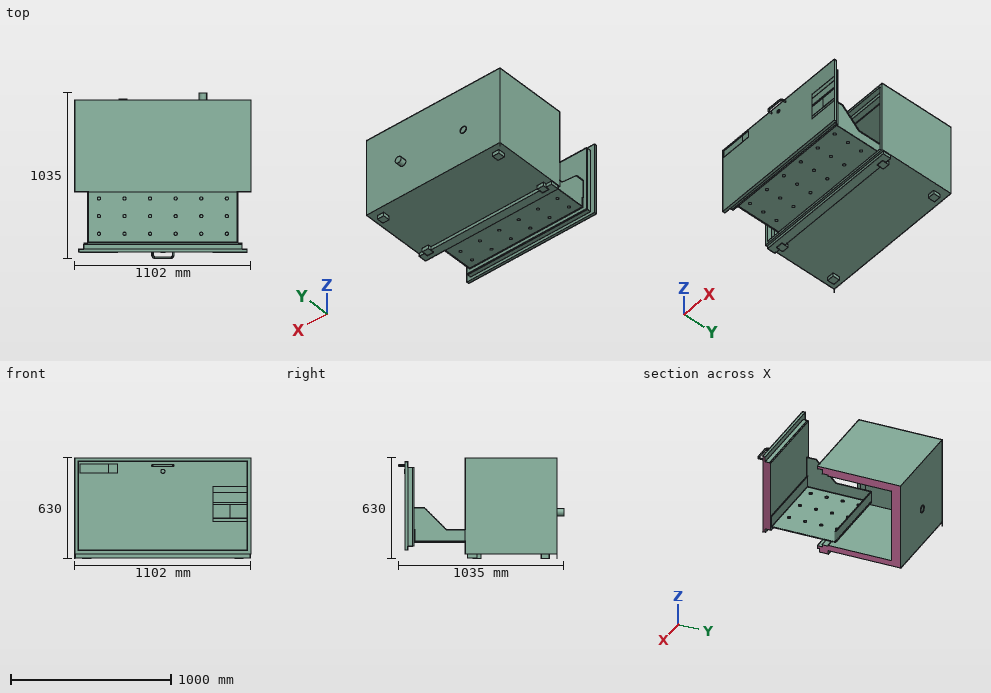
import cadquery as cq
import math


CABINET_WIDTH = 1102.0
CABINET_DEPTH = 574.0
TOTAL_HEIGHT = 630.0
FOOT_HEIGHT = 29.0

REBATE_MARGIN = 21.0
REBATE_DEPTH = 33.0
THROAT_SIDE_MARGIN = 48.0
THROAT_TOP_MARGIN = 50.0
THROAT_BOTTOM_MARGIN = 36.0
THROAT_DEPTH = 73.0
CAVITY_SIDE_MARGIN = 62.0
CAVITY_TOP_MARGIN = 57.0
CAVITY_BOTTOM_MARGIN = 42.0
BACK_WALL = 66.0

FOOT_SIZE = 52.0
FOOT_X = 475.0
FRONT_FOOT_Y = 74.0
REAR_FOOT_Y = 500.0
PLINTH_WIDTH = 1093.0
PLINTH_SETBACK = 13.0
PLINTH_DEPTH = 62.0
PLINTH_HEIGHT = 25.0
POST_SIZE = 1.0

VENT_DIAMETER = 50.0
VENT_X = 250.0
VENT_DROP = 340.0
VENT_Z = TOTAL_HEIGHT - VENT_DROP
DUCT_LENGTH = 44.0
CAP_LENGTH = 4.0

PULL_OUT = 377.0
PANEL_GAP = 3.0
PANEL_THICKNESS = 19.0
PLUG_DEPTH = 39.0
PLUG_SIDE_MARGIN = 56.0
PLUG_TOP_MARGIN = 60.0
PLUG_BOTTOM_MARGIN = 48.0
SEAL_DEPTH = 10.0
SEAL_INSET = 0.5
PANEL_FRONT_Y = -PULL_OUT
PANEL_BACK_Y = PANEL_FRONT_Y + PANEL_THICKNESS
PLUG_BACK_Y = PANEL_BACK_Y + PLUG_DEPTH
PANEL_MARGIN = REBATE_MARGIN + PANEL_GAP
PANEL_HALF_WIDTH = CABINET_WIDTH / 2 - PANEL_MARGIN

LABEL_THICKNESS = 0.5
LABEL_GAP = 0.7
NAME_LABEL_X = [-517.0, -340.0, -283.0]
NAME_LABEL_Z = [536.0, 593.0]
WARNING_LABEL_X = [314.0, 420.0, PANEL_HALF_WIDTH]
WARNING_LABEL_Z = [230.0, 252.0, 338.0, 350.0, 412.0, 451.0]
SPLIT_WARNING_ROW = 1

HANDLE_DIAMETER = 10.2
HANDLE_SPAN = 130.0
HANDLE_BEND = 18.0
HANDLE_REACH = 40.0
HANDLE_DROP = 48.0
HANDLE_Z = TOTAL_HEIGHT - HANDLE_DROP
LOCK_DIAMETER = 25.0
LOCK_LENGTH = 3.0
LOCK_DROP = 85.0
LOCK_Z = TOTAL_HEIGHT - LOCK_DROP

TRAY_WIDTH = 939.0
TRAY_DEPTH = 446.0
TRAY_DROP = 530.0
TRAY_BOTTOM_Z = TOTAL_HEIGHT - TRAY_DROP
TRAY_HEIGHT = 82.0
TRAY_WALL = 5.0
TRAY_BEND = TRAY_WALL
TRAY_BACK_Y = PLUG_BACK_Y + TRAY_DEPTH
TRAY_TOP_Z = TRAY_BOTTOM_Z + TRAY_HEIGHT
EAR_RISE = 138.0
EAR_TOP_LENGTH = 64.0

INSERT_THICKNESS = 3.0
HOLE_DIAMETER = 20.0
HOLE_COLUMNS = 6
HOLE_ROWS = 4
HOLE_SPACING_X = 160.0
HOLE_SPACING_Y = 110.0


def block(x_range, y_range, z_range):
    """Box between two X, two Y and two Z values."""
    (x0, x1), (y0, y1), (z0, z1) = x_range, y_range, z_range
    return cq.Workplane("XY").box(x1 - x0, y1 - y0, z1 - z0, centered=False).translate((x0, y0, z0))


def rod_along_y(diameter, x, z, y_start, y_end):
    """Round rod parallel to Y."""
    rod = cq.Solid.makeCylinder(diameter / 2, y_end - y_start, cq.Vector(x, y_start, z), cq.Vector(0, 1, 0))
    return cq.Workplane(obj=rod)


def inset_block(side, top, bottom, y_range):
    """Box inset from the cabinet's side, top and bottom faces."""
    half_width = CABINET_WIDTH / 2 - side
    return block((-half_width, half_width), y_range, (FOOT_HEIGHT + bottom, TOTAL_HEIGHT - top))


def cabinet_shell():
    """Case with a rebate for the panel, a throat for the plug and the cavity behind them."""
    shell = inset_block(0, 0, 0, (0, CABINET_DEPTH))
    rebate = inset_block(REBATE_MARGIN, REBATE_MARGIN, REBATE_MARGIN, (0, REBATE_DEPTH))
    throat = inset_block(
        THROAT_SIDE_MARGIN, THROAT_TOP_MARGIN, THROAT_BOTTOM_MARGIN, (REBATE_DEPTH, THROAT_DEPTH)
    )
    cavity = inset_block(
        CAVITY_SIDE_MARGIN,
        CAVITY_TOP_MARGIN,
        CAVITY_BOTTOM_MARGIN,
        (THROAT_DEPTH, CABINET_DEPTH - BACK_WALL),
    )
    return shell.cut(rebate).cut(throat).cut(cavity)


def cabinet_base():
    """Four square feet, the front plinth and the slim post under the rear left corner."""
    left = -CABINET_WIDTH / 2
    base = block(
        (-PLINTH_WIDTH / 2, PLINTH_WIDTH / 2),
        (PLINTH_SETBACK, PLINTH_SETBACK + PLINTH_DEPTH),
        (FOOT_HEIGHT - PLINTH_HEIGHT, FOOT_HEIGHT),
    )
    for x in (-FOOT_X, FOOT_X):
        for y in (FRONT_FOOT_Y, REAR_FOOT_Y):
            base = base.union(cq.Workplane("XY").center(x, y).rect(FOOT_SIZE, FOOT_SIZE).extrude(FOOT_HEIGHT))
    post = block((left, left + POST_SIZE), (CABINET_DEPTH - POST_SIZE, CABINET_DEPTH), (0, FOOT_HEIGHT))
    return base.union(post)


def make_cabinet():
    """Case with its base, and the duct and cap on the rear wall."""
    duct = rod_along_y(VENT_DIAMETER, VENT_X, VENT_Z, CABINET_DEPTH, CABINET_DEPTH + DUCT_LENGTH)
    cap = rod_along_y(VENT_DIAMETER, -VENT_X, VENT_Z, CABINET_DEPTH, CABINET_DEPTH + CAP_LENGTH)
    return cabinet_shell().union(cabinet_base()).union(duct).union(cap)


def label_field(x_range, z_range):
    """Thin raised field on the panel, with half a gap left free on every side."""
    margin = LABEL_GAP / 2
    (x0, x1), (z0, z1) = x_range, z_range
    return block(
        (x0 + margin, x1 - margin),
        (PANEL_FRONT_Y - LABEL_THICKNESS, PANEL_FRONT_Y),
        (z0 + margin, z1 - margin),
    )


def name_label():
    """Two fields side by side at the upper left."""
    left, divider, right = NAME_LABEL_X
    return label_field((left, divider), NAME_LABEL_Z).union(label_field((divider, right), NAME_LABEL_Z))


def warning_label():
    """Stacked fields at the right edge, one row of them split in two."""
    left, divider, right = WARNING_LABEL_X
    label = cq.Workplane("XY")
    for row, z_range in enumerate(zip(WARNING_LABEL_Z[:-1], WARNING_LABEL_Z[1:])):
        if row == SPLIT_WARNING_ROW:
            label = label.add(label_field((left, divider), z_range))
            label = label.add(label_field((divider, right), z_range))
        else:
            label = label.add(label_field((left, right), z_range))
    return label.combine()


def make_drawer_front():
    """Panel, plug, seal strip and raised labels."""
    panel = inset_block(PANEL_MARGIN, PANEL_MARGIN, PANEL_MARGIN, (PANEL_FRONT_Y, PANEL_BACK_Y))
    seal_front_y = PLUG_BACK_Y - SEAL_DEPTH
    plug = inset_block(PLUG_SIDE_MARGIN, PLUG_TOP_MARGIN, PLUG_BOTTOM_MARGIN, (PANEL_BACK_Y, seal_front_y))
    seal = inset_block(
        PLUG_SIDE_MARGIN + SEAL_INSET,
        PLUG_TOP_MARGIN + SEAL_INSET,
        PLUG_BOTTOM_MARGIN + SEAL_INSET,
        (seal_front_y, PLUG_BACK_Y),
    )
    return panel.union(plug).union(seal).union(name_label()).union(warning_label())


def make_handle():
    """Round bar bent into a bracket whose two ends stand on the panel."""
    half_span = HANDLE_SPAN / 2
    bar_y = PANEL_FRONT_Y - HANDLE_REACH + HANDLE_DIAMETER / 2
    bend_y = bar_y + HANDLE_BEND
    bar_half = half_span - HANDLE_BEND
    middle_x = bar_half + HANDLE_BEND * math.sqrt(0.5)
    middle_y = bend_y - HANDLE_BEND * math.sqrt(0.5)
    path = (
        cq.Workplane("XY", origin=(0, 0, HANDLE_Z))
        .moveTo(-half_span, PANEL_FRONT_Y)
        .lineTo(-half_span, bend_y)
        .threePointArc((-middle_x, middle_y), (-bar_half, bar_y))
        .lineTo(bar_half, bar_y)
        .threePointArc((middle_x, middle_y), (half_span, bend_y))
        .lineTo(half_span, PANEL_FRONT_Y)
    )
    profile = cq.Workplane("XZ", origin=(-half_span, PANEL_FRONT_Y, HANDLE_Z)).circle(HANDLE_DIAMETER / 2)
    return profile.sweep(path)


def make_lock():
    """Round lock standing on the middle of the panel."""
    return rod_along_y(LOCK_DIAMETER, 0, LOCK_Z, PANEL_FRONT_Y - LOCK_LENGTH, PANEL_FRONT_Y)


def tray_ear(x_start):
    """Raised part of a tray side: level beside the plug, then sloping down at 45 degrees."""
    level_end_y = PLUG_BACK_Y + EAR_TOP_LENGTH
    return (
        cq.Workplane("YZ", origin=(x_start, 0, 0))
        .moveTo(PLUG_BACK_Y, TRAY_TOP_Z)
        .lineTo(PLUG_BACK_Y, TRAY_TOP_Z + EAR_RISE)
        .lineTo(level_end_y, TRAY_TOP_Z + EAR_RISE)
        .lineTo(level_end_y + EAR_RISE, TRAY_TOP_Z)
        .close()
        .extrude(TRAY_WALL)
    )


def make_tray():
    """Open tray with rounded outer edges and an ear on each side."""
    half_width = TRAY_WIDTH / 2
    tray = block((-half_width, half_width), (PLUG_BACK_Y, TRAY_BACK_Y), (TRAY_BOTTOM_Z, TRAY_TOP_Z))
    tray = tray.edges("|Z or <Z").fillet(TRAY_BEND)
    inner_half = half_width - TRAY_WALL
    inner_y = (PLUG_BACK_Y + TRAY_WALL, TRAY_BACK_Y - TRAY_WALL)
    tray = tray.cut(block((-inner_half, inner_half), inner_y, (TRAY_BOTTOM_Z + TRAY_WALL, TRAY_TOP_Z)))
    for x_start in (-half_width, half_width - TRAY_WALL):
        tray = tray.union(tray_ear(x_start))
    return tray


def make_insert():
    """Perforated plate lying flat on the tray floor."""
    half_width = TRAY_WIDTH / 2 - TRAY_WALL
    floor_z = TRAY_BOTTOM_Z + TRAY_WALL
    plate = block(
        (-half_width, half_width),
        (PLUG_BACK_Y + TRAY_WALL, TRAY_BACK_Y - TRAY_WALL),
        (floor_z, floor_z + INSERT_THICKNESS),
    )
    return (
        plate.faces(">Z")
        .workplane(centerOption="CenterOfBoundBox")
        .rarray(HOLE_SPACING_X, HOLE_SPACING_Y, HOLE_COLUMNS, HOLE_ROWS)
        .hole(HOLE_DIAMETER)
    )


cabinet = make_cabinet()
drawer_front = make_drawer_front()
handle = make_handle()
lock = make_lock()
tray = make_tray()
perforated_insert = make_insert()

result = cq.Compound.makeCompound(
    [cabinet.val(), drawer_front.val(), handle.val(), lock.val(), tray.val(), perforated_insert.val()]
)